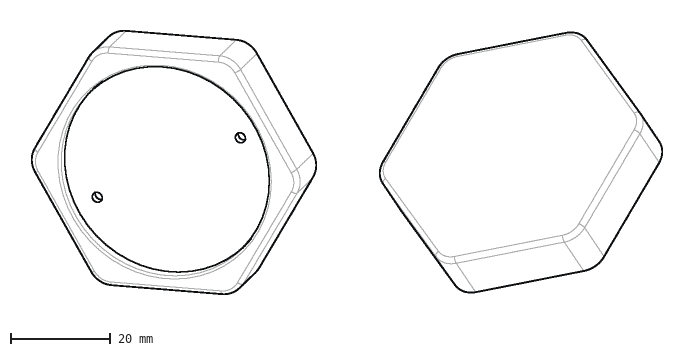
import cadquery as cq
import math

overall_width = 56.2
thickness = 13.0
corner_radius = 5.0
rim_fillet = 1.0
hexagon_turn = 0.7

recess_diameter = 43.7
recess_depth = 3.0
recess_rim_radius = 0.5

hole_diameter = 2.1
hole_depth = 2.0
hole_cone_angle = 118.0
hole_x = 15.0
hole_z = 7.65

corner_centre_distance = (overall_width / 2 - corner_radius) / math.cos(math.radians(hexagon_turn))
sharp_corner_distance = corner_centre_distance + corner_radius / math.cos(math.radians(30))


def hexagon_body():
    """Hexagonal prism from Y = 0 to Y = thickness, all edges rounded."""
    prism = (
        cq.Workplane("XZ")
        .polygon(6, 2 * sharp_corner_distance)
        .extrude(-thickness)
        .edges("|Y")
        .fillet(corner_radius)
        .faces("<Y or >Y")
        .edges()
        .fillet(rim_fillet)
    )
    return prism.rotate((0, 0, 0), (0, 1, 0), -hexagon_turn)


def recess():
    """Cylinder that flares over the rounded rim at the open face."""
    radius = recess_diameter / 2
    rim_inset = recess_rim_radius * (1 - math.cos(math.radians(45)))
    rim_middle = (radius + rim_inset, rim_inset)
    return (
        cq.Workplane("XY")
        .moveTo(0, 0)
        .lineTo(radius + recess_rim_radius, 0)
        .threePointArc(rim_middle, (radius, recess_rim_radius))
        .lineTo(radius, recess_depth)
        .lineTo(0, recess_depth)
        .close()
        .revolve(360, (0, 0, 0), (0, 1, 0))
    )


def blind_hole(x, z):
    """Cone-bottomed hole sunk into the recess floor."""
    radius = hole_diameter / 2
    cone_height = radius / math.tan(math.radians(hole_cone_angle / 2))
    shoulder = recess_depth + hole_depth
    return (
        cq.Workplane("XY")
        .moveTo(0, 0)
        .lineTo(radius, 0)
        .lineTo(radius, shoulder)
        .lineTo(0, shoulder + cone_height)
        .close()
        .revolve(360, (0, 0, 0), (0, 1, 0))
        .translate((x, 0, z))
    )


result = hexagon_body().cut(recess())
for side in (1, -1):
    result = result.cut(blind_hole(side * hole_x, side * hole_z))